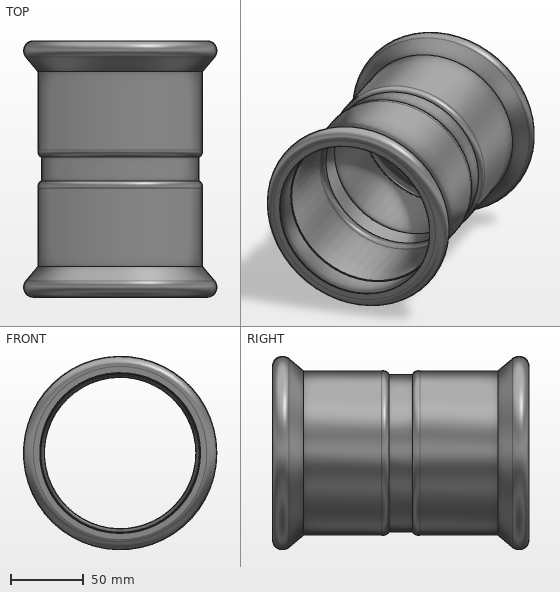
import cadquery as cq
import math

length = 176.0
bead_diameter = 132.7
socket_diameter = 112.8
waist_diameter = 108.0
waist_bore = 103.8
socket_bore = 108.8
rim_bore = 110.4

bead_radius = 6.9
bead_wall = 1.0
flare_angle = 40.0
waist_half = 8.1
shoulder_half = 13.2

end = length / 2
bead_center_r = bead_diameter / 2 - bead_radius
bead_center_y = end - bead_radius


def bead_point(radius, degrees):
    """Point on a bead arc; 0 degrees is outward, 90 is toward the end face."""
    angle = math.radians(degrees)
    return (
        bead_center_r + radius * math.cos(angle),
        bead_center_y + radius * math.sin(angle),
    )


def socket_body(waist_r, socket_r, flare_r, bead_r, rim_r):
    """Solid of revolution about Y for one socket, from the waist to the end."""
    rise = socket_r - waist_r
    run = shoulder_half - waist_half
    shoulder_mid = (
        waist_r + rise * math.sin(math.pi / 4),
        shoulder_half - run * math.cos(math.pi / 4),
    )
    tangent_r, tangent_y = bead_point(bead_r, -flare_angle)
    flare_y = tangent_y - (tangent_r - flare_r) / math.tan(math.radians(flare_angle))

    section = (
        cq.Workplane("XY")
        .moveTo(0, waist_half)
        .lineTo(waist_r, waist_half)
        .threePointArc(shoulder_mid, (socket_r, shoulder_half))
        .lineTo(socket_r, flare_y)
    )
    if flare_r > socket_r:
        section = section.lineTo(flare_r, flare_y)
    section = (
        section.lineTo(tangent_r, tangent_y)
        .threePointArc(bead_point(bead_r, (90 - flare_angle) / 2), bead_point(bead_r, 90))
        .lineTo(rim_r, bead_center_y + bead_r)
    )
    if bead_r < bead_radius:
        section = section.lineTo(rim_r, end)
    return section.lineTo(0, end).close().revolve(360, (0, 0, 0), (0, 1, 0))


def both_ends(waist_r, socket):
    """Waist cylinder joined to a socket and its mirror image."""
    waist = cq.Workplane("XZ", origin=(0, waist_half, 0)).circle(waist_r).extrude(2 * waist_half)
    return waist.union(socket).union(socket.mirror("XZ"))


outer_socket = socket_body(
    waist_diameter / 2, socket_diameter / 2, socket_diameter / 2, bead_radius, rim_bore / 2
)
inner_socket = socket_body(
    waist_bore / 2, socket_bore / 2, rim_bore / 2, bead_radius - bead_wall, rim_bore / 2
)
outside = both_ends(waist_diameter / 2, outer_socket)
inside = both_ends(waist_bore / 2, inner_socket)
result = outside.cut(inside)